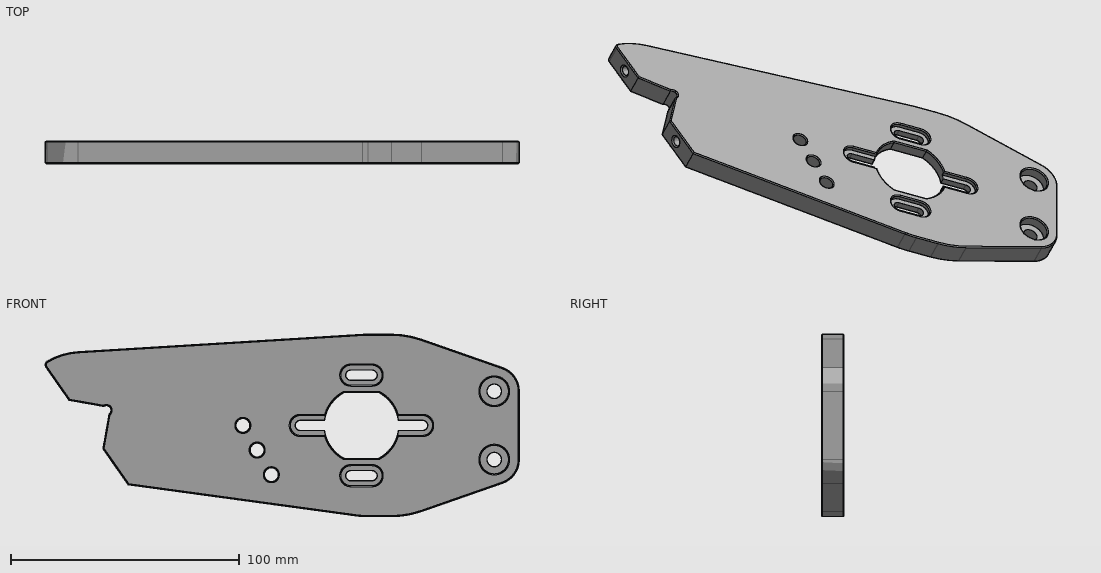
import cadquery as cq
import math

LENGTH = 207.5
THICKNESS = 10.0
HEIGHT = 80.0
TAIL_X = 69.1
NOSE_X = TAIL_X - LENGTH
FRONT_Y = -THICKNESS / 2
EDGE_CHAMFER = 0.5

SHOULDER_RADIUS = HEIGHT / 2
LEFT_SHOULDER = (3.0, 0)
RIGHT_SHOULDER = (13.0, 0)
TAIL_HOLE_X = 58.1
TAIL_HOLE_Z = 15.0
TAIL_RADIUS = TAIL_X - TAIL_HOLE_X

TOP_SLOPE = 3.5
TOP_EDGE_LENGTH = 124.8
BROW_RADIUS = 29.9
NOSE_RADIUS = 1.9
END_SLOPE = 55.0
NOSE_FACE_LENGTH = 17.6
CHIN_FACE_LENGTH = 19.3

NOTCH_SIDE = 18.3
NOTCH_MOUTH = NOTCH_SIDE * math.sqrt(2)
RELIEF_RADIUS = 2.0

END_HOLE_DIAMETER = 4.2
END_HOLE_MOUTH_DIAMETER = 5.5
END_HOLE_DEPTH = 15.0
END_HOLE_OFFSET = 8.0

BORE_RADIUS = 16.3
BORE_FLAT_HEIGHT = 28.9
SLOT_WIDTH = 4.4
RECESS_WIDTH = 8.7
RECESS_DEPTH = 2.0
SHORT_SLOT_SPAN = 9.3
SHORT_SLOT_Z = 22.0
LONG_SLOT_SPAN = 53.5

SEAT_RADIUS = 33.2
SEAT_DEPTH = 5.0

TAIL_HOLE_DIAMETER = 6.2
COUNTERBORE_DIAMETER = 12.5
COUNTERBORE_DEPTH = 4.5
ROW_HOLE_DIAMETER = 6.0
ROW_START = (-51.9, 0)
ROW_PITCH = 12.5
ROW_SLOPE = -60.0
ROW_COUNT = 3


def offset(point, distance, angle):
    """Point at a distance and an angle (degrees) from another point."""
    turn = math.radians(angle)
    return (point[0] + distance * math.cos(turn), point[1] + distance * math.sin(turn))


def mirrored(point):
    return (point[0], -point[1])


def front_plane(depth):
    """XZ workplane lying the given depth behind the front face; extrudes towards -Y."""
    return cq.Workplane("XZ", origin=(0, FRONT_Y + depth, 0))


tail_centre = (TAIL_HOLE_X, TAIL_HOLE_Z)
tail_dx = TAIL_HOLE_X - RIGHT_SHOULDER[0]
tail_distance = math.hypot(tail_dx, TAIL_HOLE_Z)
tail_normal = math.degrees(
    math.atan2(TAIL_HOLE_Z, tail_dx) + math.acos((SHOULDER_RADIUS - TAIL_RADIUS) / tail_distance)
)
left_shoulder_top = offset(LEFT_SHOULDER, SHOULDER_RADIUS, 90)
shoulder_top = offset(RIGHT_SHOULDER, SHOULDER_RADIUS, 90)
shoulder_mid = offset(RIGHT_SHOULDER, SHOULDER_RADIUS, (90 + tail_normal) / 2)
shoulder_end = offset(RIGHT_SHOULDER, SHOULDER_RADIUS, tail_normal)
tail_start = offset(tail_centre, TAIL_RADIUS, tail_normal)
tail_mid = offset(tail_centre, TAIL_RADIUS, tail_normal / 2)
tail_end = offset(tail_centre, TAIL_RADIUS, 0)

top_normal = 90 + TOP_SLOPE
top_right = offset(LEFT_SHOULDER, SHOULDER_RADIUS, top_normal)
top_mid = offset(LEFT_SHOULDER, SHOULDER_RADIUS, 90 + TOP_SLOPE / 2)
top_left = offset(top_right, TOP_EDGE_LENGTH, 180 + TOP_SLOPE)
brow_centre = offset(top_left, -BROW_RADIUS, top_normal)
nose_reach = NOSE_X + NOSE_RADIUS - brow_centre[0]
brow_end_angle = math.degrees(math.acos(nose_reach / (BROW_RADIUS - NOSE_RADIUS)))
nose_centre = offset(brow_centre, BROW_RADIUS - NOSE_RADIUS, brow_end_angle)
brow_mid = offset(brow_centre, BROW_RADIUS, (top_normal + brow_end_angle) / 2)
brow_end = offset(brow_centre, BROW_RADIUS, brow_end_angle)
end_normal = 270 - END_SLOPE
nose_mid = offset(nose_centre, NOSE_RADIUS, (brow_end_angle + end_normal) / 2)
nose_end = offset(nose_centre, NOSE_RADIUS, end_normal)

notch_upper = offset(nose_end, NOSE_FACE_LENGTH, -END_SLOPE)
notch_lower = offset(notch_upper, NOTCH_MOUTH, -END_SLOPE)
notch_inner = offset(notch_upper, NOTCH_SIDE, 45 - END_SLOPE)
chin = offset(notch_lower, CHIN_FACE_LENGTH, -END_SLOPE)

chin_dx = chin[0] - LEFT_SHOULDER[0]
chin_distance = math.hypot(chin_dx, chin[1])
bottom_normal = math.degrees(
    math.atan2(chin[1], chin_dx) + math.acos(SHOULDER_RADIUS / chin_distance)
)
bottom_left = offset(LEFT_SHOULDER, SHOULDER_RADIUS, bottom_normal)
bottom_mid = offset(LEFT_SHOULDER, SHOULDER_RADIUS, (bottom_normal - 90) / 2)


def plate():
    return (
        front_plane(THICKNESS)
        .moveTo(*left_shoulder_top)
        .lineTo(*shoulder_top)
        .threePointArc(shoulder_mid, shoulder_end)
        .lineTo(*tail_start)
        .threePointArc(tail_mid, tail_end)
        .lineTo(*mirrored(tail_end))
        .threePointArc(mirrored(tail_mid), mirrored(tail_start))
        .lineTo(*mirrored(shoulder_end))
        .threePointArc(mirrored(shoulder_mid), mirrored(shoulder_top))
        .lineTo(*mirrored(left_shoulder_top))
        .threePointArc(bottom_mid, bottom_left)
        .lineTo(*chin)
        .lineTo(*nose_end)
        .threePointArc(nose_mid, brow_end)
        .threePointArc(brow_mid, top_left)
        .lineTo(*top_right)
        .threePointArc(top_mid, left_shoulder_top)
        .close()
        .extrude(THICKNESS)
    )


def notch():
    """Square notch with a round relief passing through its inner corner."""
    corner = front_plane(THICKNESS).polyline([notch_upper, notch_inner, notch_lower]).close()
    relief_centre = offset(notch_inner, RELIEF_RADIUS, end_normal)
    relief = front_plane(THICKNESS).center(*relief_centre).circle(RELIEF_RADIUS)
    return corner.extrude(THICKNESS).union(relief.extrude(THICKNESS))


def bore():
    flats = front_plane(THICKNESS).rect(2 * BORE_RADIUS, BORE_FLAT_HEIGHT).extrude(THICKNESS)
    return front_plane(THICKNESS).circle(BORE_RADIUS).extrude(THICKNESS).intersect(flats)


def motor_seat():
    return front_plane(THICKNESS).circle(SEAT_RADIUS).extrude(SEAT_DEPTH)


def stepped_slot(z, span):
    """Through slot along X inside a wider recess whose mouth is chamfered at the front."""
    mouth_width = RECESS_WIDTH + 2 * EDGE_CHAMFER
    through = front_plane(THICKNESS).center(0, z).slot2D(span + SLOT_WIDTH, SLOT_WIDTH)
    recess = front_plane(RECESS_DEPTH).center(0, z).slot2D(span + RECESS_WIDTH, RECESS_WIDTH)
    mouth = front_plane(0).center(0, z).slot2D(span + mouth_width, mouth_width)
    return (
        through.extrude(THICKNESS)
        .union(recess.extrude(RECESS_DEPTH))
        .union(mouth.extrude(-EDGE_CHAMFER, taper=45))
    )


def tail_holes():
    centres = [tail_centre, mirrored(tail_centre)]
    through = front_plane(THICKNESS).pushPoints(centres).circle(TAIL_HOLE_DIAMETER / 2)
    sink = front_plane(COUNTERBORE_DEPTH).pushPoints(centres).circle(COUNTERBORE_DIAMETER / 2)
    return through.extrude(THICKNESS).union(sink.extrude(COUNTERBORE_DEPTH))


def row_holes():
    centres = [offset(ROW_START, i * ROW_PITCH, ROW_SLOPE) for i in range(ROW_COUNT)]
    return front_plane(THICKNESS).pushPoints(centres).circle(ROW_HOLE_DIAMETER / 2).extrude(THICKNESS)


def end_hole(mouth):
    """Countersunk blind hole at mid thickness, square to the slanted end."""
    inward = offset((0, 0), 1, end_normal - 180)
    start = cq.Vector(mouth[0], 0, mouth[1])
    axis = cq.Vector(inward[0], 0, inward[1])
    radius = END_HOLE_DIAMETER / 2
    mouth_radius = END_HOLE_MOUTH_DIAMETER / 2
    drilling = cq.Solid.makeCylinder(radius, END_HOLE_DEPTH, start, axis)
    countersink = cq.Solid.makeCone(mouth_radius, radius, mouth_radius - radius, start, axis)
    return cq.Workplane(drilling).union(cq.Workplane(countersink))


result = plate().cut(notch())
result = result.faces(">Y").edges().chamfer(EDGE_CHAMFER)

result = result.cut(motor_seat()).cut(bore()).cut(tail_holes()).cut(row_holes())
result = result.faces("<Y").edges().chamfer(EDGE_CHAMFER)

for slot_z, slot_span in (
    (0, LONG_SLOT_SPAN),
    (SHORT_SLOT_Z, SHORT_SLOT_SPAN),
    (-SHORT_SLOT_Z, SHORT_SLOT_SPAN),
):
    result = result.cut(stepped_slot(slot_z, slot_span))

for mouth in (
    offset(notch_upper, -END_HOLE_OFFSET, -END_SLOPE),
    offset(notch_lower, END_HOLE_OFFSET, -END_SLOPE),
):
    result = result.cut(end_hole(mouth))